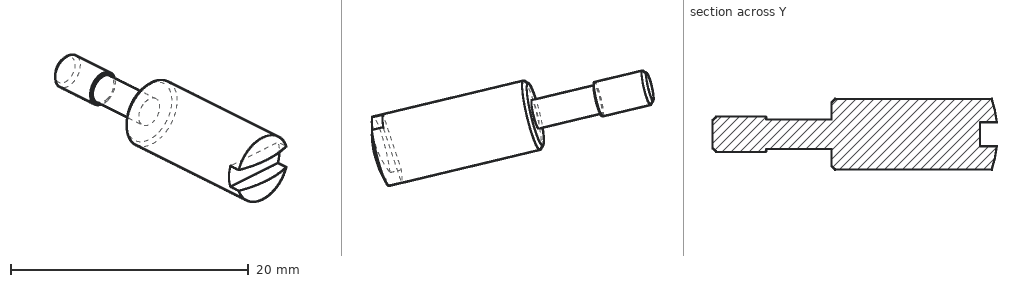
import cadquery as cq
import math

length = 23.95

tip_diameter = 3.0
tip_length = 4.55
tip_chamfer = 0.3
tip_back_chamfer = 0.07
neck_diameter = 2.5

head_diameter = 6.0
head_start = 10.0
head_chamfer = 0.3
dome_radius = 9.25

slot_width = 2.0
slot_floor = 22.5

tip_radius = tip_diameter / 2
neck_radius = neck_diameter / 2
head_radius = head_diameter / 2


def dome_drop(distance):
    """Axial drop of the dome below its apex at a distance from the axis."""
    return dome_radius - math.sqrt(dome_radius**2 - distance**2)


dome_apex = length + dome_drop(slot_width / 2)
dome_edge = dome_apex - dome_drop(head_radius)
dome_middle_radius = head_radius / 2
dome_middle = dome_apex - dome_drop(dome_middle_radius)


def make_turned_body():
    """Half profile revolved around the X axis."""
    return (
        cq.Workplane("XY")
        .moveTo(0, 0)
        .lineTo(0, tip_radius - tip_chamfer)
        .lineTo(tip_chamfer, tip_radius)
        .lineTo(tip_length - tip_back_chamfer, tip_radius)
        .lineTo(tip_length, tip_radius - tip_back_chamfer)
        .lineTo(tip_length, neck_radius)
        .lineTo(head_start, neck_radius)
        .lineTo(head_start, head_radius - head_chamfer)
        .lineTo(head_start + head_chamfer, head_radius)
        .lineTo(dome_edge, head_radius)
        .threePointArc((dome_middle, dome_middle_radius), (dome_apex, 0))
        .close()
        .revolve(360, (0, 0, 0), (1, 0, 0))
    )


def make_slot():
    """Box along Y that opens through the domed end."""
    slot_depth = dome_apex - slot_floor
    return (
        cq.Workplane("XY")
        .box(slot_depth, head_diameter, slot_width, centered=(False, True, True))
        .translate((slot_floor, 0, 0))
    )


result = make_turned_body().cut(make_slot())